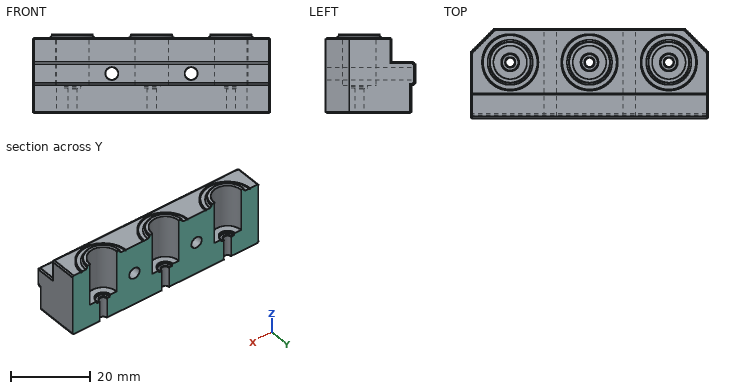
import cadquery as cq
length = 60.0
depth = 22.75
block_height = 19.0
corner_cut = 6.0

ledge_depth = 6.0
ledge_height = 12.95
lip_overhang = 1.0
lip_underside = 7.0
lip_chamfer = 0.65
edge_chamfer = 0.4

station_spacing = length / 3
cross_hole_diameter = 3.2
cross_hole_height = 10.0

bushing_y = 14.2
bushing_diameter = 14.3
bushing_bevel = 0.3
boss_base_diameter = 11.4
boss_top_diameter = 10.45
boss_cone_height = 0.5
boss_top_chamfer = 0.1
overall_height = 20.0

bore_diameter = 8.45
bore_depth = 12.0
recess_diameter = 4.1
recess_depth = 0.6
recess_chamfer = 0.25
through_diameter = 2.3
through_chamfer = 0.2


def make_block():
    """Stepped block with chamfered outside edges."""
    profile = [
        (lip_overhang, 0),
        (depth, 0),
        (depth, block_height),
        (ledge_depth, block_height),
        (ledge_depth, ledge_height),
        (0, ledge_height),
        (0, lip_underside),
        (lip_overhang, lip_underside),
    ]
    block = cq.Workplane("YZ").polyline(profile).close().extrude(length / 2, both=True)
    block = block.edges("|Z and >Y").chamfer(corner_cut)
    block = block.faces("<Y").edges("|X").chamfer(lip_chamfer)
    front_side_edges = cq.selectors.BoxSelector(
        (-length, -depth, -depth), (length, depth - 1.5 * corner_cut, depth)
    )
    end_edges = block.faces("<X or >X").edges("not (|Z)")
    end_edges = end_edges.add(block.faces("<X or >X").edges("|Z").edges(front_side_edges))
    return end_edges.add(block.faces("<Z or >Z").edges()).chamfer(edge_chamfer)


def turned(profile):
    """Solid of revolution about Z from (radius, height) points."""
    return cq.Workplane("XZ").polyline(profile).close().revolve(360, (0, 0), (0, 1))


def make_rim_groove():
    """V groove: straight outer wall, bevelled inner wall."""
    radius = bushing_diameter / 2
    return turned([
        (radius - bushing_bevel, block_height),
        (radius, block_height),
        (radius, block_height - bushing_bevel),
    ])


def make_boss():
    """Raised collar: cone at the foot, short cylinder, chamfered top."""
    base_radius = boss_base_diameter / 2
    top_radius = boss_top_diameter / 2
    return turned([
        (0, block_height),
        (base_radius, block_height),
        (top_radius, block_height + boss_cone_height),
        (top_radius, overall_height - boss_top_chamfer),
        (top_radius - boss_top_chamfer, overall_height),
        (0, overall_height),
    ])


def make_bore():
    """Stepped bore: wide bore, chamfered recess in its floor, chamfered through hole."""
    bore_radius = bore_diameter / 2
    recess_radius = recess_diameter / 2
    through_radius = through_diameter / 2
    bore_floor = block_height - bore_depth
    recess_floor = bore_floor - recess_depth
    return turned([
        (0, 0),
        (through_radius, 0),
        (through_radius, recess_floor - through_chamfer),
        (through_radius + through_chamfer, recess_floor),
        (recess_radius, recess_floor),
        (recess_radius, bore_floor - recess_chamfer),
        (recess_radius + recess_chamfer, bore_floor),
        (bore_radius, bore_floor),
        (bore_radius, overall_height),
        (0, overall_height),
    ])


result = make_block()

for station in (-1, 0, 1):
    place = (station * station_spacing, bushing_y, 0)
    result = result.cut(make_rim_groove().translate(place))
    result = result.union(make_boss().translate(place))
    result = result.cut(make_bore().translate(place))

for side in (-1, 1):
    cross_hole = (
        cq.Workplane("XZ", origin=(side * station_spacing / 2, 0, cross_hole_height))
        .circle(cross_hole_diameter / 2)
        .extrude(-depth)
    )
    result = result.cut(cross_hole)